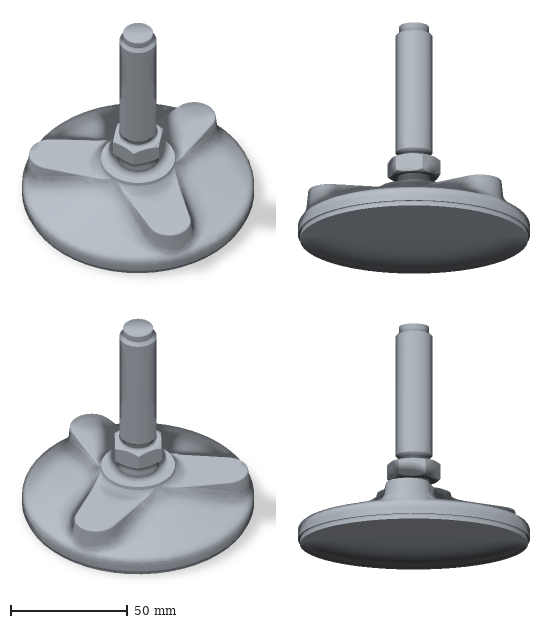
import cadquery as cq
import math

pad_diameter = 98.2
pad_height = 2.1
plate_diameter = 100.0
rim_top_z = 5.3
dome_edge_radius = 46.9
dome_edge_z = 9.0
dome_inner_radius = 21.0
dome_inner_z = 16.3

collar_top_z = 22.0
collar_base_z = 20.6
collar_top_radius = 15.9
collar_base_radius = 16.2

rib_count = 3
rib_top_z = 18.6
rib_root_z = 4.0
rib_blank_top_z = 26.0
rib_end_radius = 9.25
rib_end_reach = 47.3
rib_flank_angle = 7.2
rib_draft = 6.0
rib_inner_reach = 8.0
rib_root_fillet = 4.0
rib_top_fillet = 0.8
hub_blend_reach = 20.0
hub_blend_radius = 5.0
hub_land_radius = 21.2
cap_clearance = 0.02
contact_tolerance = 0.02

ball_diameter = 18.5
neck_diameter = 14.3
neck_base_z = 25.7
nut_base_z = 27.8
nut_height = 8.0
nut_across_flats = 20.0
nut_chamfer_angle = 30.0
stud_diameter = 16.0
tip_diameter = 13.0
stud_base_z = 39.0
total_height = 95.88
tip_height = 3.0
tip_edge_chamfer = 0.3


def make_plate():
    """Revolved pad, rim and conical dome, closed by the flared collar."""
    pad_radius = pad_diameter / 2
    rim_radius = plate_diameter / 2
    dome_slope = (dome_inner_z - dome_edge_z) / (dome_edge_radius - dome_inner_radius)
    dome_length = math.hypot(1, dome_slope)
    inward_tangent = (-1 / dome_length, dome_slope / dome_length)
    return (
        cq.Workplane("XZ")
        .lineTo(pad_radius, 0)
        .lineTo(pad_radius, pad_height)
        .lineTo(rim_radius, pad_height)
        .lineTo(rim_radius, rim_top_z)
        .spline([(dome_edge_radius, dome_edge_z)], tangents=[(0, 1), inward_tangent], includeCurrent=True)
        .lineTo(dome_inner_radius, dome_inner_z)
        .tangentArcPoint((collar_base_radius, collar_base_z), relative=False)
        .lineTo(collar_top_radius, collar_top_z)
        .lineTo(0, collar_top_z)
        .close()
        .revolve(360, (0, 0, 0), (0, 1, 0))
    )


def rib_outline(z, clearance=0.0):
    """Outline of the +Y rib at height z: a round end and flanks that spread towards the hub.

    The end and flanks stand outside the drafted rib by the clearance.
    """
    flank = math.radians(rib_flank_angle)
    draft_growth = (rib_top_z - z) * math.tan(math.radians(rib_draft))
    end_radius = rib_end_radius + draft_growth + clearance
    end_center_y = rib_end_reach - rib_end_radius
    tangent_x = end_radius * math.cos(flank)
    tangent_y = end_center_y + end_radius * math.sin(flank)
    inner_x = tangent_x + (tangent_y - rib_inner_reach) * math.tan(flank)
    return (
        cq.Workplane("XY", origin=(0, 0, z))
        .moveTo(inner_x, rib_inner_reach)
        .lineTo(tangent_x, tangent_y)
        .threePointArc((0, end_center_y + end_radius), (-tangent_x, tangent_y))
        .lineTo(-inner_x, rib_inner_reach)
        .close()
        .wire()
        .val()
    )


def make_rib_blank(angle):
    """Drafted rib left taller than the collar, so that its root fillet is complete before trimming."""
    outlines = [rib_outline(rib_root_z), rib_outline(rib_blank_top_z)]
    blank = cq.Workplane(cq.Solid.makeLoft(outlines, True))
    return blank.rotate((0, 0, 0), (0, 0, 1), angle)


def axis_distance(point):
    """Distance of a point from the part's vertical axis."""
    return math.hypot(point.x, point.y)


def add_rib(body, plate_skin, angle):
    """Join one rib blank to the body and round the edge where it meets the plate and collar."""
    blank = make_rib_blank(angle)
    blank_skin = cq.Compound.makeCompound(blank.faces().vals())

    def is_root_edge(edge):
        middle = edge.positionAt(0.5)
        vertex = cq.Vertex.makeVertex(*middle.toTuple())
        on_plate = plate_skin.distance(vertex) < contact_tolerance
        on_blank = blank_skin.distance(vertex) < contact_tolerance
        return on_plate and on_blank and axis_distance(middle) > collar_top_radius

    return body.union(blank).edges().filter(is_root_edge).fillet(rib_root_fillet)


def make_rib_cap():
    """Rounded +Y rib top, held just clear of the drafted flanks of the rib blank."""
    outlines = [rib_outline(rib_root_z, cap_clearance), rib_outline(rib_top_z, cap_clearance)]
    cap = cq.Workplane(cq.Solid.makeLoft(outlines, True))
    return cap.faces(">Z").edges("not(<Y)").fillet(rib_top_fillet)


def make_ceiling():
    """Space the foot may fill: below the rounded rib tops, the blends up to the collar and the collar."""
    beyond_radius = plate_diameter
    cap_shoulder_z = rib_top_z - rib_top_fillet
    ceiling = (
        cq.Workplane("XZ")
        .lineTo(0, collar_top_z)
        .lineTo(collar_top_radius, collar_top_z)
        .lineTo(collar_base_radius, collar_base_z)
        .radiusArc((hub_blend_reach, rib_top_z), -hub_blend_radius)
        .lineTo(hub_land_radius, rib_top_z)
        .lineTo(hub_land_radius + rib_top_fillet, cap_shoulder_z)
        .lineTo(beyond_radius, cap_shoulder_z)
        .lineTo(beyond_radius, 0)
        .close()
        .revolve(360, (0, 0, 0), (0, 1, 0))
    )
    cap = make_rib_cap()
    for index in range(rib_count):
        ceiling = ceiling.union(cap.rotate((0, 0, 0), (0, 0, 1), index * 360 / rib_count))
    return ceiling


def make_foot():
    """Plate with its ribs filleted in, levelled and rounded."""
    plate = make_plate()
    plate_skin = cq.Compound.makeCompound(plate.faces().vals())
    foot = plate
    for index in range(rib_count):
        foot = add_rib(foot, plate_skin, index * 360 / rib_count)
    return foot.intersect(make_ceiling())


def make_stud():
    """Revolved ball, neck, undercut, threaded shank envelope and tip."""
    ball_radius = ball_diameter / 2
    neck_radius = neck_diameter / 2
    stud_radius = stud_diameter / 2
    tip_radius = tip_diameter / 2
    shoulder = stud_radius - tip_radius
    ball_center_z = neck_base_z - math.sqrt(ball_radius**2 - neck_radius**2)
    nut_middle_z = nut_base_z + nut_height / 2
    tip_base_z = total_height - tip_height
    profile = (
        cq.Workplane("XZ")
        .moveTo(0, ball_center_z)
        .lineTo(ball_radius, ball_center_z)
        .radiusArc((neck_radius, neck_base_z), -ball_radius)
        .lineTo(neck_radius, nut_middle_z)
        .lineTo(tip_radius, nut_middle_z)
        .lineTo(tip_radius, stud_base_z - shoulder)
        .lineTo(stud_radius, stud_base_z)
        .lineTo(stud_radius, tip_base_z - shoulder)
        .lineTo(tip_radius, tip_base_z)
        .lineTo(tip_radius, total_height - tip_edge_chamfer)
        .lineTo(tip_radius - tip_edge_chamfer, total_height)
        .lineTo(0, total_height)
        .close()
    )
    return profile.revolve(360, (0, 0, 0), (0, 1, 0))


def make_nut():
    """Hexagon with corners on X, both ends trimmed by a cone."""
    across_corners = nut_across_flats / math.cos(math.pi / 6)
    flat_radius = nut_across_flats / 2
    corner_radius = across_corners / 2
    bevel = (corner_radius - flat_radius) * math.tan(math.radians(nut_chamfer_angle))
    hexagon = (
        cq.Workplane("XY", origin=(0, 0, nut_base_z))
        .polygon(6, across_corners)
        .extrude(nut_height)
    )
    envelope = (
        cq.Workplane("XY", origin=(0, 0, nut_base_z))
        .circle(corner_radius)
        .extrude(nut_height)
        .faces("<Z or >Z")
        .edges()
        .chamfer(bevel, corner_radius - flat_radius)
    )
    return hexagon.intersect(envelope)


result = make_foot().union(make_stud()).union(make_nut())